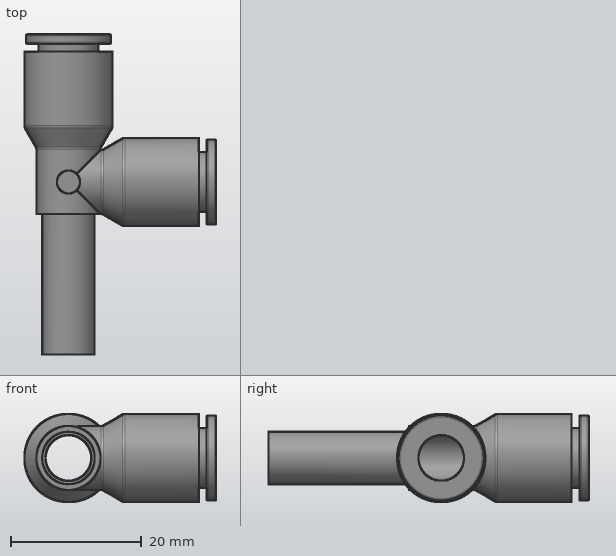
import cadquery as cq

body_radius = 4.9
stem_radius = 4.0
bore_radius = 3.5
socket_radius = 6.75
collar_radius = 6.5
neck_radius = 4.6

stem_end = 26.4
body_end = 4.9
cone_start = 5.2
cone_end = 8.45
socket_end = 19.95
collar_end = 22.6
collar_thickness = 1.45
rim_fillet = 0.3
cone_blend = 0.8

badge_radius = 1.75
badge_depth = 0.5


def socket_arm():
    """Solid arm along +Y with a conical shoulder, socket and release collar."""
    rim_start = collar_end - collar_thickness
    body = (
        cq.Workplane("XY")
        .polyline([
            (0, 0),
            (body_radius, 0),
            (body_radius, cone_start),
            (socket_radius, cone_end),
            (socket_radius, socket_end),
            (0, socket_end),
        ])
        .close()
        .revolve(360, (0, 0, 0), (0, 1, 0))
    )
    for y in (cone_start, cone_end):
        edge = cq.selectors.NearestToPointSelector((0, y, 0))
        body = body.edges("%CIRCLE").edges(edge).fillet(cone_blend)
    neck = along_y(neck_radius, socket_end, rim_start)
    rim = along_y(collar_radius, rim_start, collar_end).edges("%CIRCLE").fillet(rim_fillet)
    return body.union(neck).union(rim)


def along_y(radius, start, end):
    """Cylinder on the Y axis between two positions."""
    return cq.Workplane("XZ", origin=(0, start, 0)).circle(radius).extrude(start - end)


def turn_to_branch(shape):
    """Turn a shape from the +Y direction to the +X direction."""
    return shape.rotate((0, 0, 0), (0, 0, 1), -90)


arm = socket_arm()
fitting = arm.union(turn_to_branch(arm))
fitting = fitting.union(along_y(body_radius, -body_end, 0))
fitting = fitting.union(along_y(stem_radius, -stem_end, 0))

run_bore = along_y(bore_radius, -stem_end, collar_end)
branch_bore = turn_to_branch(along_y(bore_radius, 0, collar_end))
fitting = fitting.cut(run_bore).cut(branch_bore)

badge = (
    cq.Workplane("XY", origin=(0, 0, body_radius - badge_depth))
    .circle(badge_radius)
    .extrude(badge_depth)
)
result = fitting.cut(badge)